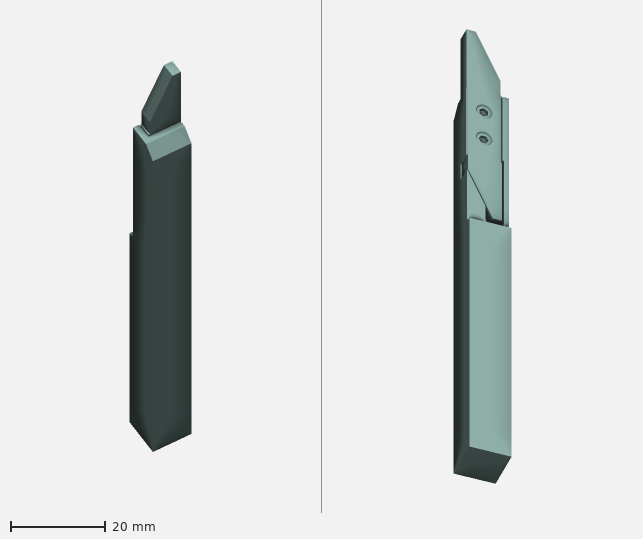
import cadquery as cq
import math

total_length = 116.6
shank_width = 9.6

shank_top = 100.0
top_chamfer = 2.8
recess_depth = 1.4
recess_bottom = 63.2
recess_fillet = 1.0

insert_face = 1.7
insert_thickness = 3.5
insert_length = 50.5
insert_width = 8.0
end_inset = 0.3
end_length = 16.0
tip_flat = 2.1
tip_slope_height = 12.0
edge_chamfer = 0.2

insert_back = insert_face + insert_thickness
insert_low_y = shank_width - insert_width
insert_bottom = total_length - insert_length
insert_center_y = shank_width - insert_width / 2
insert_center_z = total_length - insert_length / 2
body_bottom = insert_bottom + end_length
body_length = insert_length - 2 * end_length
tip_slope_width = insert_width - end_inset - tip_flat

slot_width = 4.2
slot_bottom = 63.3
wall_relief = 0.3
relief_clearance = 0.3
slope_clearance = 0.5

screw_spacing = 7.5
seat_radius = 1.9
seat_depth = 1.4
head_sink = 0.3
shaft_radius = 1.0
screw_length = 5.8
socket_corner_diameter = 2.2
socket_depth = 0.7
socket_tip_depth = 0.5
screw_turns = [(-0.5, 0.0), (0.5, 30.0)]


def block(x_min, x_max, y_min, y_max, z_min, z_max):
    """Box between the given limits."""
    size = (x_max - x_min, y_max - y_min, z_max - z_min)
    return cq.Workplane("XY").box(*size, centered=False).translate((x_min, y_min, z_min))


def screw_z(place):
    """Z height of a screw from its place along the spacing."""
    return insert_center_z + place * screw_spacing


def make_screw_hole(place):
    """Space cut for a screw: a countersunk seat in the insert face and a plain hole below it."""
    outline = [
        (0, 0),
        (seat_radius, 0),
        (shaft_radius, seat_depth),
        (shaft_radius, screw_length),
        (0, screw_length),
    ]
    hole = cq.Workplane("XY").polyline(outline).close().revolve(360, (0, 0), (0, 1))
    hole = hole.rotate((0, 0, 0), (0, 0, 1), -90)
    return hole.translate((insert_face, insert_center_y, screw_z(place)))


def make_screw(place, socket_angle):
    """Screw that fills its hole up to a sunk flat head with a hexagonal socket ending in a cone."""
    head_face = insert_face + head_sink
    center = (head_face, insert_center_y, screw_z(place))
    hexagon = cq.Workplane("YZ").polygon(6, socket_corner_diameter).extrude(socket_depth)
    hexagon = hexagon.rotate((0, 0, 0), (1, 0, 0), socket_angle)
    socket_flat_radius = socket_corner_diameter / 2 * math.cos(math.pi / 6)
    floor_center = cq.Vector(socket_depth, 0, 0)
    tip = cq.Solid.makeCone(socket_flat_radius, 0, socket_tip_depth, floor_center, cq.Vector(1, 0, 0))
    socket = hexagon.union(cq.Workplane(tip)).translate(center)
    above_head = block(0, head_face, 0, shank_width, 0, total_length)
    return make_screw_hole(place).cut(above_head).cut(socket)


def make_insert():
    """Double-ended insert with a sloped tip at each end and a wider body between them."""
    upper_y = insert_low_y + end_inset
    lower_y = shank_width - end_inset
    outline = [
        (shank_width, total_length),
        (shank_width - tip_flat, total_length),
        (upper_y, total_length - tip_slope_height),
        (upper_y, body_bottom + body_length),
        (insert_low_y, body_bottom + body_length),
        (insert_low_y, insert_bottom),
        (insert_low_y + tip_flat, insert_bottom),
        (lower_y, insert_bottom + tip_slope_height),
        (lower_y, body_bottom),
        (shank_width, body_bottom),
    ]
    insert = cq.Workplane("YZ", origin=(insert_face, 0, 0)).polyline(outline).close()
    insert = insert.extrude(insert_thickness)
    for edge_y, inward in ((insert_low_y, 1), (shank_width, -1)):
        corner = [
            (insert_face, edge_y),
            (insert_face + edge_chamfer, edge_y),
            (insert_face, edge_y + inward * edge_chamfer),
        ]
        bevel = cq.Workplane("XY", origin=(0, 0, body_bottom)).polyline(corner).close()
        insert = insert.cut(bevel.extrude(body_length))
    for place, _ in screw_turns:
        insert = insert.cut(make_screw_hole(place))
    return insert


def make_pocket():
    """Space for the insert: open at the top and the +Y side, with a round-ended slot below."""
    slot_low_y = insert_low_y - wall_relief
    slot_high_y = slot_low_y + slot_width
    arc_center_z = slot_bottom + slot_width / 2
    relief_top = body_bottom + relief_clearance
    rise = tip_slope_height / tip_slope_width
    shift = slope_clearance * math.hypot(1, rise)
    slope_start_y = insert_low_y + tip_flat
    slope_at_slot = insert_bottom + (slot_high_y - slope_start_y) * rise - shift
    slope_at_side = insert_bottom + (shank_width - slope_start_y) * rise - shift
    pocket = (
        cq.Workplane("YZ")
        .moveTo(insert_low_y, shank_top)
        .lineTo(insert_low_y, relief_top)
        .lineTo(slot_low_y, relief_top)
        .lineTo(slot_low_y, arc_center_z)
        .threePointArc((slot_low_y + slot_width / 2, slot_bottom), (slot_high_y, arc_center_z))
        .lineTo(slot_high_y, slope_at_slot)
        .lineTo(shank_width, slope_at_side)
        .lineTo(shank_width, shank_top)
        .close()
    )
    return pocket.extrude(insert_back)


def make_shank():
    """Square shank with a filleted recess, a chamfered top, the insert pocket and screw holes."""
    profile = (
        cq.Workplane("XZ")
        .moveTo(0, 0)
        .lineTo(shank_width, 0)
        .lineTo(shank_width, shank_top - top_chamfer)
        .lineTo(shank_width - top_chamfer, shank_top)
        .lineTo(recess_depth, shank_top)
        .lineTo(recess_depth, recess_bottom + recess_fillet)
        .radiusArc((recess_depth - recess_fillet, recess_bottom), recess_fillet)
        .lineTo(0, recess_bottom)
        .close()
    )
    shank = profile.extrude(-shank_width).cut(make_pocket())
    for place, _ in screw_turns:
        shank = shank.cut(make_screw_hole(place))
    return shank


shank = make_shank()
insert = make_insert()
screws = [make_screw(place, angle) for place, angle in screw_turns]
result = cq.Compound.makeCompound([shank.val(), insert.val(), *[screw.val() for screw in screws]])